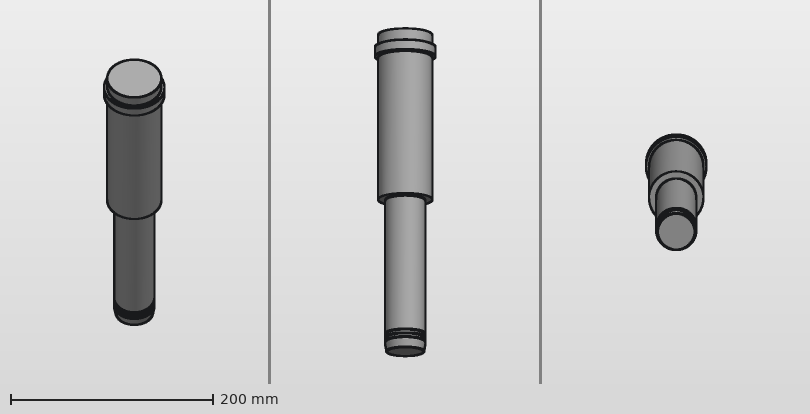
import cadquery as cq

total_length = 323.0
body_diameter = 54.0
flange_diameter = 60.0
shaft_diameter = 40.0

head_height = 12.3
flange_height = 10.0
shaft_length = 155.0

edge_chamfer = 0.3
tip_chamfer = 0.5
relief_width = 1.0
relief_depth = 0.3

nose_length = 7.8
nose_tip_diameter = 37.5

groove_count = 3
groove_width = 1.0
groove_depth = 0.5
groove_pitch = 4.0
lowest_groove_height = 10.0


def cylinder(diameter, bottom, top):
    """Solid cylinder on the Z axis between two heights."""
    return cq.Workplane("XY").workplane(offset=bottom).circle(diameter / 2).extrude(top - bottom)


def nose():
    """Tapered end of the shaft with a small chamfer at the tip."""
    cone = (
        cq.Workplane("XY")
        .circle(nose_tip_diameter / 2)
        .workplane(offset=nose_length)
        .circle(shaft_diameter / 2)
        .loft()
    )
    return cone.faces("<Z").edges().chamfer(tip_chamfer)


def ring_groove(diameter, bottom, width, depth):
    """Ring of material to remove from the surface of a cylinder of the given diameter."""
    top = bottom + width
    return cylinder(diameter, bottom, top).cut(cylinder(diameter - 2 * depth, bottom, top))


flange_top = total_length - head_height
flange_bottom = flange_top - flange_height

body = cylinder(body_diameter, shaft_length, total_length).faces(">Z").edges().chamfer(edge_chamfer)
flange = cylinder(flange_diameter, flange_bottom, flange_top).edges().chamfer(edge_chamfer)

result = nose().union(cylinder(shaft_diameter, nose_length, shaft_length))
result = result.union(body).union(flange)

reliefs = [
    (body_diameter, flange_top),
    (body_diameter, flange_bottom - relief_width),
    (shaft_diameter, shaft_length - relief_width),
]
for diameter, bottom in reliefs:
    result = result.cut(ring_groove(diameter, bottom, relief_width, relief_depth))

for index in range(groove_count):
    groove_bottom = lowest_groove_height + index * groove_pitch
    result = result.cut(ring_groove(shaft_diameter, groove_bottom, groove_width, groove_depth))